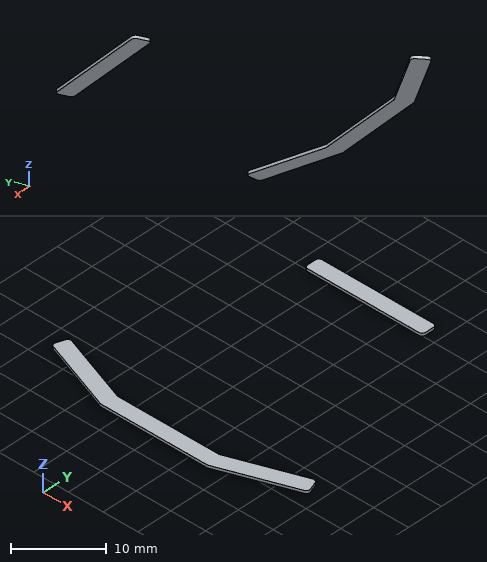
import cadquery as cq
import math

overall_width = 36.82
overall_depth = 34.02
thickness = 0.4
strip_width = 2.2
corner_radius = 0.5

straight_length = 17.0

arm_angle = math.radians(20)
outer_bend_x = 7.7
inner_bend_x = outer_bend_x - strip_width * math.tan(arm_angle / 2)

tip_center_x = overall_width / 2 - corner_radius
arm_length = corner_radius + (
    tip_center_x - outer_bend_x + corner_radius * math.sin(arm_angle)
) / math.cos(arm_angle)


def make_straight_strip():
    """Rounded rectangular strip along the +Y edge of the set."""
    return (
        cq.Workplane("XY")
        .center(0, overall_depth - strip_width / 2)
        .rect(straight_length, strip_width)
        .extrude(thickness)
        .edges("|Z")
        .fillet(corner_radius)
    )


def make_bent_strip():
    """Constant-width strip with mitred bends; tips and bends are all rounded."""
    outer_tip_x = outer_bend_x + arm_length * math.cos(arm_angle)
    outer_tip_y = arm_length * math.sin(arm_angle)
    inner_tip_x = outer_tip_x - strip_width * math.sin(arm_angle)
    inner_tip_y = outer_tip_y + strip_width * math.cos(arm_angle)

    right_half = [
        (outer_bend_x, 0),
        (outer_tip_x, outer_tip_y),
        (inner_tip_x, inner_tip_y),
        (inner_bend_x, strip_width),
    ]
    left_half = [(-x, y) for x, y in reversed(right_half)]
    return (
        cq.Workplane("XY")
        .polyline(right_half + left_half)
        .close()
        .extrude(thickness)
        .edges("|Z")
        .fillet(corner_radius)
    )


straight_strip = make_straight_strip()
bent_strip = make_bent_strip()

result = cq.Compound.makeCompound([straight_strip.val(), bent_strip.val()])